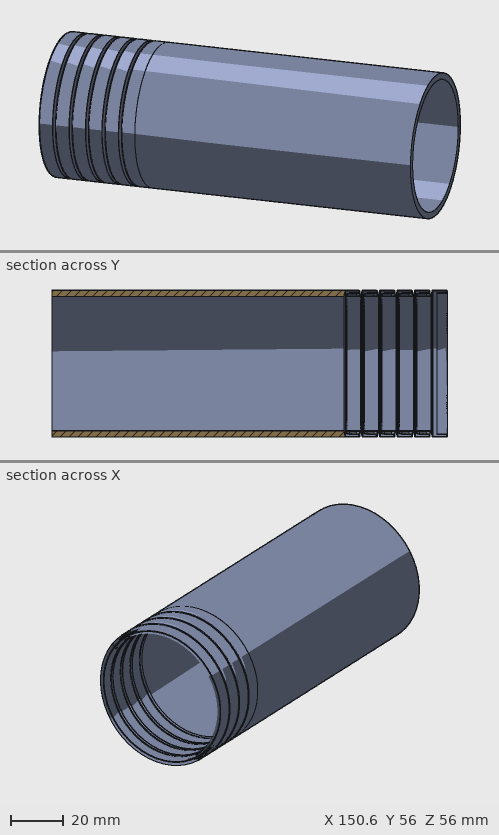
import math

import cadquery as cq

outer_radius = 56.0 / 2
inner_radius = 51.0 / 2
total_length = 150.62
middle_radius = (outer_radius + inner_radius) / 2

ring_count = 5
pitch = 20 / 3
web_angle = 75.0
groove_width = 1.5
return_leg_end = 4.0

bend_radius = (outer_radius - middle_radius) / 2
strip_thickness = bend_radius / 2
bend_centre_radius = middle_radius + bend_radius
outer_leg_inside = outer_radius - strip_thickness
return_leg_outside = middle_radius + strip_thickness

outer_leg_end = pitch + bend_radius - groove_width
web_lean = 1 / math.tan(math.radians(web_angle))
web_width = strip_thickness / math.sin(math.radians(web_angle))
web_middle = outer_leg_end + (outer_radius - middle_radius) * web_lean - web_width / 2
web_inside_corner = web_middle - web_width / 2 - (outer_leg_inside - middle_radius) * web_lean


def turn_about_x(profile):
    """Solid of revolution about X from an open profile in the XY plane, where Y is the radius."""
    return profile.close().revolve(360, (0, 0, 0), (1, 0, 0))


def add_hook(profile, place, inside_end, outside_end):
    """Draw a hook from the inner side of its long leg, round the bend, to the outer side.

    place maps (x along the ring, radius) to a point of the profile plane.
    """
    return (
        profile.lineTo(*place(inside_end, outer_leg_inside))
        .lineTo(*place(bend_radius, outer_leg_inside))
        .threePointArc(
            place(strip_thickness, bend_centre_radius),
            place(bend_radius, return_leg_outside),
        )
        .lineTo(*place(return_leg_end, return_leg_outside))
        .lineTo(*place(return_leg_end, middle_radius))
        .lineTo(*place(bend_radius, middle_radius))
        .threePointArc(place(0, bend_centre_radius), place(bend_radius, outer_radius))
        .lineTo(*place(outside_end, outer_radius))
    )


def make_ring(start):
    """One S-shaped ring whose -X end is at start."""

    def outer_half(x, radius):
        return (start + x, radius)

    def inner_half(x, radius):
        return (start + 2 * web_middle - x, 2 * middle_radius - radius)

    profile = cq.Workplane("XY").moveTo(*inner_half(outer_leg_end, outer_radius))
    profile = add_hook(profile, outer_half, web_inside_corner, outer_leg_end)
    profile = add_hook(profile, inner_half, web_inside_corner, outer_leg_end)
    return turn_about_x(profile)


def make_tube():
    """Full-thickness tube to the +X end, begun by a hook that engages the last ring."""
    start = ring_count * pitch
    inner_corner = start + 2 * web_middle - outer_leg_end

    def outer_half(x, radius):
        return (start + x, radius)

    profile = (
        cq.Workplane("XY")
        .moveTo(total_length, outer_radius)
        .lineTo(total_length, inner_radius)
        .lineTo(inner_corner, inner_radius)
    )
    profile = add_hook(profile, outer_half, web_inside_corner, outer_leg_end)
    return turn_about_x(profile)


result = make_tube()
for index in range(ring_count):
    result = result.union(make_ring(index * pitch))